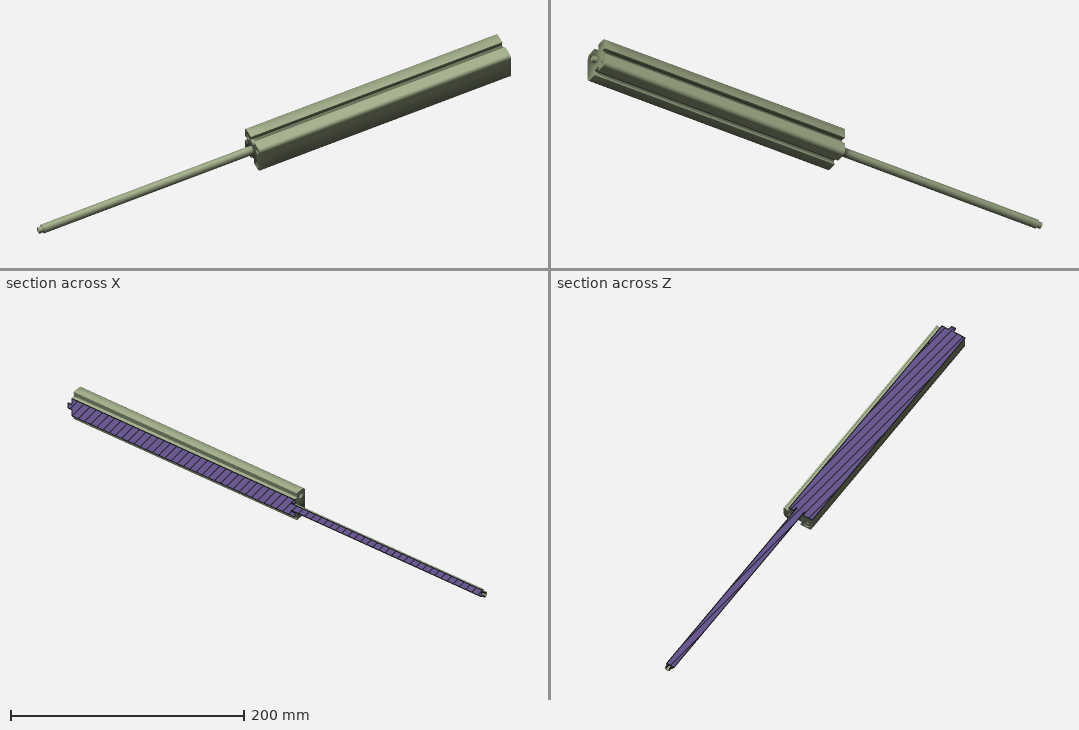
import cadquery as cq

total_length = 447
body_width = 29.0
body_length = 239.0
cap_length = 12.5
corner_radius = 3.5

slot_mouth_width = 6.0
slot_width = 7.0
slot_lip = 1.5
slot_depth = 5.0

rod_diameter = 8.0
stud_diameter = 6.0
stud_length = 4.05
stud_flat_width = 5.0
stud_hole_diameter = 2.45
stud_hole_mouth_diameter = 4.1
stud_hole_mouth_angle = 90
rod_bore_diameter = 9
rod_bore_depth = 4.0
rod_end = body_length + stud_length - total_length
rod_shoulder = rod_end + stud_length

hole_offset = 9
through_hole_diameter = 3.25
counterbore_diameter = 6.0
counterbore_depth = 4.0
screw_head_diameter = 7.5
screw_head_recess = 1.5
socket_corner_diameter = 4.1
socket_depth = 3.0
hole_centres = [(hole_offset, hole_offset), (-hole_offset, -hole_offset)]
screw_centres = [(-hole_offset, hole_offset), (hole_offset, -hole_offset)]


def across_y(start_y):
    """Plane across the Y axis with local x = X, local y = Z and normal towards -Y."""
    return cq.Workplane("XZ", origin=(0, start_y, 0))


def cylinder(start_y, length, diameter, centres=((0, 0),)):
    """Round bars running towards +Y at the given (x, z) centres."""
    return across_y(start_y).pushPoints(centres).circle(diameter / 2).extrude(-length)


def side_slot(start_y, length):
    """Solid that fills the slot in the -X side."""
    side = across_y(start_y).center(-body_width / 2, 0)
    mouth = side.rect(2 * slot_lip, slot_mouth_width).extrude(-length)
    inner_centre = (slot_lip + slot_depth) / 2
    inner = side.center(inner_centre, 0).rect(slot_depth - slot_lip, slot_width).extrude(-length)
    return mouth.union(inner)


def body_section(start_y, length):
    """Rounded square bar with slots along -X, +Z and -Z and two through holes."""
    bar = across_y(start_y).rect(body_width, body_width).extrude(-length)
    bar = bar.edges("|Y").fillet(corner_radius)
    slot = side_slot(start_y, length)
    for angle in (-90, 0, 90):
        bar = bar.cut(slot.rotate((0, 0, 0), (0, 1, 0), angle))
    return bar.cut(cylinder(start_y, length, through_hole_diameter, hole_centres))


def hexagon_sockets():
    """Sockets in the screw heads, each with two corners pointing to +Z and -Z."""
    turned_plane = across_y(screw_head_recess).transformed(rotate=(0, 0, 90))
    turned_centres = [(z, -x) for x, z in screw_centres]
    return turned_plane.pushPoints(turned_centres).polygon(6, socket_corner_diameter).extrude(-socket_depth)


def front_cap():
    """Cap with counterbores, recessed screw heads and clearance around the rod."""
    cap = body_section(0, cap_length)
    cap = cap.cut(cylinder(0, counterbore_depth, counterbore_diameter, hole_centres))
    cap = cap.cut(cylinder(0, screw_head_recess, screw_head_diameter, screw_centres))
    cap = cap.cut(hexagon_sockets())
    return cap.cut(cylinder(0, rod_bore_depth, rod_bore_diameter))


def stud(start_y):
    """Round stud with flats facing -X and +X."""
    flats = across_y(start_y).rect(stud_flat_width, stud_diameter).extrude(-stud_length)
    return cylinder(start_y, stud_length, stud_diameter).intersect(flats)


def front_stud():
    """Stud at the free end of the rod, with a countersunk hole as deep as the stud."""
    end_face = stud(rod_end).faces("<Y").workplane(origin=(0, rod_end, 0))
    return end_face.cskHole(
        stud_hole_diameter, stud_hole_mouth_diameter, stud_hole_mouth_angle, stud_length
    )


rod = cylinder(rod_shoulder, rod_bore_depth - rod_shoulder, rod_diameter)
tube = body_section(cap_length, body_length - 2 * cap_length)
rear_cap = body_section(body_length - cap_length, cap_length)
rear_stud = stud(body_length)

result = front_cap()
for piece in (tube, rear_cap, rod, front_stud(), rear_stud):
    result = result.union(piece, clean=False)